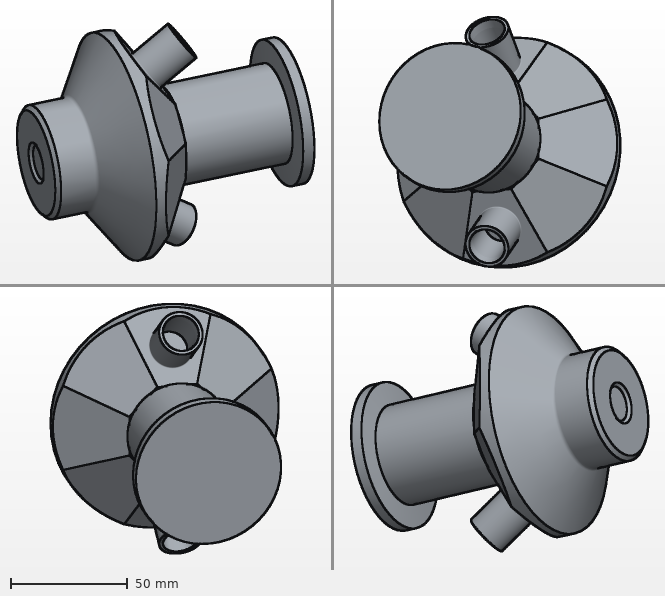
import cadquery as cq
import math

total_length = 115.2
cone_angle = 55.0
cone_slope = math.tan(math.radians(cone_angle))

body_radius = 49.8
rim_front = 36.0
rim_back = 40.4
facet_end = 60.5
facet_count = 8

spigot_radius = 25.0
spigot_chamfer = 2.0
spigot_fillet = 2.0
recess_mouth_radius = 9.0
recess_floor_radius = 7.5
recess_depth = recess_mouth_radius - recess_floor_radius

neck_radius = 22.0
flange_radius = 32.0
flange_front = 110.0
flange_taper_end = 109.0

tube_radius = 9.5
tube_tip_y = 66.8
tube_tip_z = 46.9
tube_foot_fillet = 0.5
bore_mouth_radius = 7.8
bore_radius = 7.5
bore_taper_depth = 4.6
bore_depth = 23.0


def revolve_about_y(points):
    """Turn a closed (radius, Y) outline around the main axis."""
    return cq.Workplane("XY").polyline(points).close().revolve(360, (0, 0, 0), (0, 1, 0))


def make_front():
    """Spigot, fillet, front cone and rim, with the conical recess in the end face."""
    cone_start = rim_front - (body_radius - spigot_radius) / cone_slope
    tangent_length = spigot_fillet * math.tan(math.radians(cone_angle / 2))
    fillet_end_r = spigot_radius + tangent_length * math.sin(math.radians(cone_angle))
    fillet_end_y = cone_start + tangent_length * math.cos(math.radians(cone_angle))
    return (
        cq.Workplane("XY")
        .moveTo(0, recess_depth)
        .lineTo(recess_floor_radius, recess_depth)
        .lineTo(recess_mouth_radius, 0)
        .lineTo(spigot_radius - spigot_chamfer, 0)
        .lineTo(spigot_radius, spigot_chamfer)
        .lineTo(spigot_radius, cone_start - tangent_length)
        .tangentArcPoint((fillet_end_r, fillet_end_y), relative=False)
        .lineTo(body_radius, rim_front)
        .lineTo(body_radius, rim_back)
        .lineTo(0, rim_back)
        .close()
        .revolve(360, (0, 0, 0), (0, 1, 0))
    )


def make_facets():
    """Octagonal pyramid frustum, trimmed to the round rim at its wide end."""
    start_apothem = body_radius
    end_apothem = body_radius - (facet_end - rim_back) * cone_slope
    half_angle = math.pi / facet_count

    def octagon(apothem, y):
        corner_radius = apothem / math.cos(half_angle)
        angles = [(2 * i + 1) * half_angle for i in range(facet_count)]
        corners = [
            cq.Vector(corner_radius * math.cos(a), y, corner_radius * math.sin(a)) for a in angles
        ]
        return cq.Wire.makePolygon(corners, close=True)

    wires = [octagon(start_apothem, rim_back), octagon(end_apothem, facet_end)]
    frustum = cq.Workplane(cq.Solid.makeLoft(wires, True))
    rim_cylinder = revolve_about_y(
        [(0, rim_back), (body_radius, rim_back), (body_radius, facet_end), (0, facet_end)]
    )
    return frustum.intersect(rim_cylinder)


def make_neck():
    """Neck standing on the flat end of the facets, and rear flange with a tapered front face."""
    return revolve_about_y(
        [
            (0, facet_end),
            (neck_radius, facet_end),
            (neck_radius, flange_taper_end),
            (flange_radius, flange_front),
            (flange_radius, total_length),
            (0, total_length),
        ]
    )


def make_tube(side):
    """Bored tube standing on the top (side = 1) or bottom (side = -1) facet."""
    angle = math.radians(cone_angle)
    outward = cq.Vector(0, math.sin(angle), side * math.cos(angle))
    tip = cq.Vector(0, tube_tip_y, side * tube_tip_z)
    facet_point = cq.Vector(0, rim_back, side * body_radius)
    tube_length = (tip - facet_point).dot(outward)
    foot_plane = cq.Plane(tip - outward * tube_length, (1, 0, 0), outward)
    profile_plane = cq.Plane(foot_plane.origin, (1, 0, 0), foot_plane.yDir * -1)
    taper_start = tube_length - bore_taper_depth
    bore_floor = tube_length - bore_depth

    tube = (
        cq.Workplane(profile_plane)
        .lineTo(tube_radius + tube_foot_fillet, 0)
        .radiusArc((tube_radius, tube_foot_fillet), tube_foot_fillet)
        .lineTo(tube_radius, tube_length)
        .lineTo(0, tube_length)
        .close()
        .revolve(360, (0, 0, 0), (0, 1, 0))
    )
    bore = (
        cq.Workplane(profile_plane)
        .moveTo(0, bore_floor)
        .lineTo(bore_radius, bore_floor)
        .lineTo(bore_radius, taper_start)
        .lineTo(bore_mouth_radius, tube_length)
        .lineTo(0, tube_length)
        .close()
        .revolve(360, (0, 0, 0), (0, 1, 0))
    )
    return tube, bore


result = make_front().union(make_facets()).union(make_neck())
for side in (1, -1):
    tube, bore = make_tube(side)
    result = result.union(tube).cut(bore)